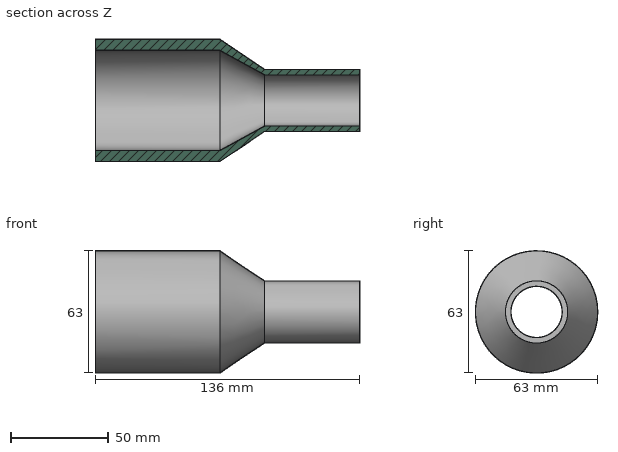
import cadquery as cq

socket_outer_diameter = 63.0
socket_bore_diameter = 51.4
spigot_outer_diameter = 32.0
spigot_bore_diameter = 26.2

total_length = 136.0
socket_length = 64.0
spigot_length = 49.0
cone_end = total_length - spigot_length


def stepped_cone(wide_diameter, narrow_diameter):
    """Solid of revolution about X: wide cylinder, cone, narrow cylinder."""
    wide_radius = wide_diameter / 2
    narrow_radius = narrow_diameter / 2
    half_profile = (
        cq.Workplane("XY")
        .moveTo(0, 0)
        .lineTo(0, wide_radius)
        .lineTo(socket_length, wide_radius)
        .lineTo(cone_end, narrow_radius)
        .lineTo(total_length, narrow_radius)
        .lineTo(total_length, 0)
        .close()
    )
    return half_profile.revolve(360, (0, 0, 0), (1, 0, 0))


body = stepped_cone(socket_outer_diameter, spigot_outer_diameter)
bore = stepped_cone(socket_bore_diameter, spigot_bore_diameter)

result = body.cut(bore)